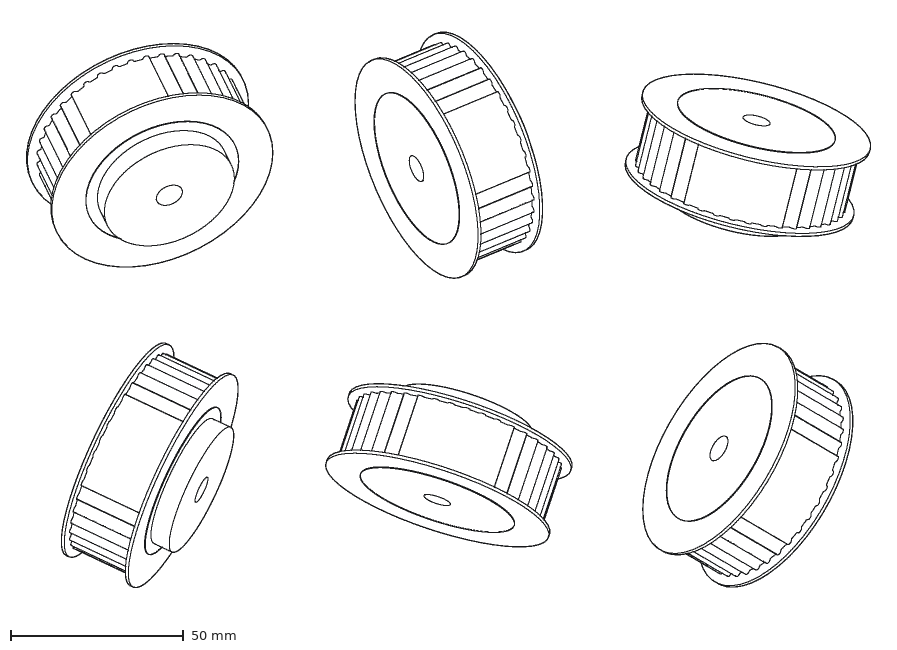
import cadquery as cq
import math

TOOTH_COUNT = 40
BELT_PITCH = 5.0
PITCH_TO_TIP = 0.6
GROOVE_DEPTH = 1.1
GROOVE_FLOOR_WIDTH = 2.6
FLANK_ANGLE = 25.0
CUT_CLEARANCE = 1.0
ROOT_FILLET = 0.4
TIP_FILLET = 0.7

TOTAL_LENGTH = 28.0
FLANGED_WIDTH = 22.0
FLANGE_THICKNESS = 1.0
FLANGE_DISH = 0.25

FLANGE_RADIUS = 34.0
FLANGE_FLAT_RADIUS = 32.5
FLANGE_SEAT_RADIUS = 23.5
HUB_RADIUS = 20.0
BORE_RADIUS = 4.0

tip_radius = TOOTH_COUNT * BELT_PITCH / (2 * math.pi) - PITCH_TO_TIP
root_radius = tip_radius - GROOVE_DEPTH
flange_inner_x = FLANGE_DISH + FLANGE_THICKNESS
toothed_width = FLANGED_WIDTH - 2 * flange_inner_x


def x_cylinder(radius, start, end):
    """Solid cylinder about the X axis between two X positions."""
    return cq.Workplane("YZ").workplane(offset=start).circle(radius).extrude(end - start)


def groove_cutter():
    """One trapezoidal belt groove on the +Y side, open outward past the tips."""
    floor_half = GROOVE_FLOOR_WIDTH / 2
    floor_edge = math.sqrt(root_radius**2 - floor_half**2)
    outer = tip_radius + CUT_CLEARANCE
    outer_half = floor_half + (outer - floor_edge) * math.tan(math.radians(FLANK_ANGLE))
    return (
        cq.Workplane("YZ")
        .workplane(offset=flange_inner_x)
        .moveTo(outer, -outer_half)
        .lineTo(floor_edge, -floor_half)
        .threePointArc((root_radius, 0), (floor_edge, floor_half))
        .lineTo(outer, outer_half)
        .close()
        .extrude(toothed_width)
    )


def axial_edges_between(body, inner_radius, outer_radius):
    """Edges parallel to X whose distance from the axis lies in the given range."""

    def in_range(edge):
        center = edge.Center()
        return inner_radius < math.hypot(center.y, center.z) < outer_radius

    return body.edges("|X").filter(in_range)


def toothed_rim():
    """Ring of teeth between the flanges, rounded at the groove roots and tooth tips."""
    rim = x_cylinder(tip_radius, flange_inner_x, flange_inner_x + toothed_width)
    groove = groove_cutter().val()
    tooth_angle = 360 / TOOTH_COUNT
    axis_start = cq.Vector(0, 0, 0)
    axis_end = cq.Vector(1, 0, 0)
    grooves = [
        groove.rotate(axis_start, axis_end, index * tooth_angle)
        for index in range(TOOTH_COUNT)
    ]
    rim = rim.cut(cq.Workplane(cq.Compound.makeCompound(grooves)))
    middle_radius = (root_radius + tip_radius) / 2
    rim = axial_edges_between(rim, 0, middle_radius).fillet(ROOT_FILLET)
    return axial_edges_between(rim, middle_radius, FLANGE_RADIUS).fillet(TIP_FILLET)


def flange():
    """Flange at the -X end: a flat disc whose rim leans toward -X."""
    return (
        cq.Workplane("XY")
        .moveTo(FLANGE_DISH, 0)
        .lineTo(FLANGE_DISH, FLANGE_FLAT_RADIUS)
        .lineTo(0, FLANGE_RADIUS)
        .lineTo(FLANGE_THICKNESS, FLANGE_RADIUS)
        .lineTo(flange_inner_x, FLANGE_FLAT_RADIUS)
        .lineTo(flange_inner_x, 0)
        .close()
        .revolve(360, (0, 0, 0), (1, 0, 0))
    )


outer_flange = flange()
hub_flange = outer_flange.mirror("YZ").translate((FLANGED_WIDTH, 0, 0))
seat = x_cylinder(FLANGE_SEAT_RADIUS, 0, FLANGED_WIDTH)
hub = x_cylinder(HUB_RADIUS, flange_inner_x, TOTAL_LENGTH)
bore = x_cylinder(BORE_RADIUS, 0, TOTAL_LENGTH)

pulley = toothed_rim().union(outer_flange).union(hub_flange).union(seat).union(hub)
result = pulley.cut(bore)